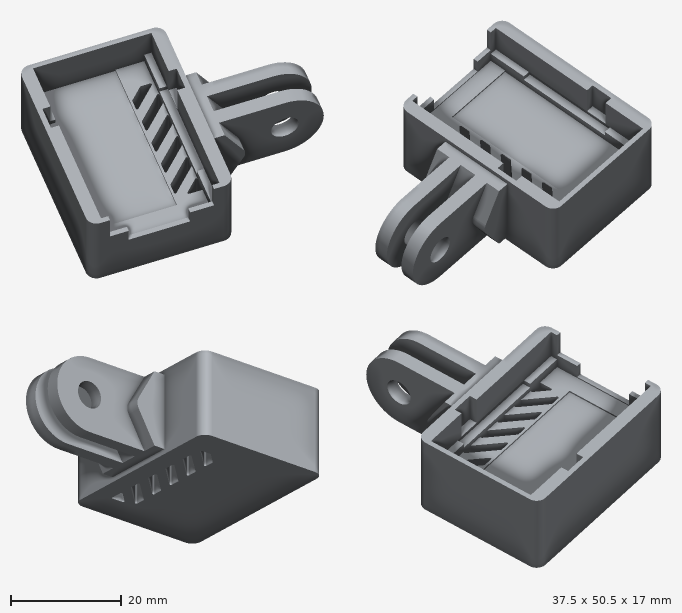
import cadquery as cq
import math

length = 37.55
width = 27.95
height = 17.0
corner_radius = 2.0
total_depth = 50.45

end_wall = 0.95
cavity_width = 22.85
floor_z = 8.95
ledge_z = 10.9
ledge_gap = 20.1
low_ledge_z = 9.95
low_ledge_length = 19.6
undercut_depth = 0.25
undercut_top_z = 11.0

recess_length = 32.15
recess_width = 14.55
recess_depth = 0.35

pocket_length = 4.5
pocket_x = -6.5
pocket_z = 11.1
pocket_span = 25.95

opening_z = 11.95
low_opening_z = 9.2
low_opening_width = 11.85
low_opening_y = -0.5

vent_length = 25.5
vent_width = 5.1
vent_inset = 6.0
bar_pitch = 5.0
bar_count = 6
first_bar_reach = 2.45
vent_tip_radius = 0.25

mount_height = 15.0
prong_thickness = 2.75
prong_gap = 3.55
pin_hole_diameter = 5.35
wedge_length = 15.0
wedge_base = 2.25
wedge_slope = 30.0
wedge_tip_radius = 2.25

left = -length / 2
back = width / 2
cavity_length = length - 2 * end_wall
middle_z = height / 2
vent_left = left + vent_inset


def block(size_x, size_y, bottom, top, x=0.0, y=0.0):
    """Box centred on (x, y) that spans bottom to top along Z."""
    return (
        cq.Workplane("XY", origin=(x, y, bottom))
        .rect(size_x, size_y)
        .extrude(top - bottom)
    )


def case_body():
    return block(length, width, 0, height).edges("|Z").fillet(corner_radius)


def cavity():
    upper = block(cavity_length, cavity_width, ledge_z, height)
    between_ledges = block(cavity_length, ledge_gap, floor_z, height)
    low_ledges = block(low_ledge_length, cavity_width + 2 * undercut_depth, low_ledge_z, undercut_top_z)
    return upper.union(between_ledges).union(low_ledges)


def floor_recess():
    recess_x = left + end_wall + recess_length / 2
    recess_y = (recess_width - ledge_gap) / 2
    return block(recess_length, recess_width, floor_z - recess_depth, height, recess_x, recess_y)


def wall_pockets():
    return block(pocket_length, pocket_span, pocket_z, height, pocket_x)


def end_opening():
    wall_x = (length - end_wall) / 2
    wide = block(end_wall, ledge_gap, opening_z, height, wall_x)
    narrow = block(end_wall, low_opening_width, low_opening_z, height, wall_x, low_opening_y)
    return wide.union(narrow)


def vent_slots():
    vent_top = ledge_gap / 2
    vent_bottom = vent_top - vent_width
    openings = block(
        vent_length, vent_width, 0, floor_z, vent_left + vent_length / 2, vent_top - vent_width / 2
    )
    for index in range(bar_count):
        right_foot = vent_left + first_bar_reach + index * bar_pitch
        left_foot = right_foot - bar_pitch / 2
        bar = (
            cq.Workplane("XY")
            .polyline([
                (left_foot, vent_bottom),
                (right_foot, vent_bottom),
                (right_foot - vent_width, vent_top),
                (left_foot - vent_width, vent_top),
            ])
            .close()
            .extrude(floor_z)
        )
        openings = openings.cut(bar)
    slots = cq.Workplane("XY")
    for slot in openings.solids().vals():
        tips = cq.Workplane(slot).edges("|Z and (<(1,-1,0) or >(1,-1,0))")
        slots = slots.add(tips.fillet(vent_tip_radius))
    return slots.combine()


def prongs():
    radius = mount_height / 2
    pin_y = total_depth - width / 2 - radius
    pair = cq.Workplane("XY")
    for side in (-1, 1):
        prong_x = side * (prong_gap + prong_thickness) / 2
        prong = (
            cq.Workplane("YZ", origin=(prong_x - prong_thickness / 2, 0, middle_z))
            .moveTo(back, -radius)
            .lineTo(pin_y, -radius)
            .threePointArc((pin_y + radius, 0), (pin_y, radius))
            .lineTo(back, radius)
            .close()
            .moveTo(pin_y, 0)
            .circle(pin_hole_diameter / 2)
            .extrude(prong_thickness)
        )
        pair = pair.add(prong)
    return pair.combine()


def mount_wedge():
    half_height = mount_height / 2
    shoulder_y = back + wedge_base
    tip_y = shoulder_y + half_height * math.tan(math.radians(wedge_slope))
    return (
        cq.Workplane("YZ", origin=(-wedge_length / 2, 0, middle_z))
        .polyline([
            (back, -half_height),
            (shoulder_y, -half_height),
            (tip_y, 0),
            (shoulder_y, half_height),
            (back, half_height),
        ])
        .close()
        .extrude(wedge_length)
        .edges("|X and >Y")
        .fillet(wedge_tip_radius)
    )


result = (
    case_body()
    .cut(cavity())
    .cut(floor_recess())
    .cut(wall_pockets())
    .cut(end_opening())
    .cut(vent_slots())
    .union(mount_wedge())
    .union(prongs())
)